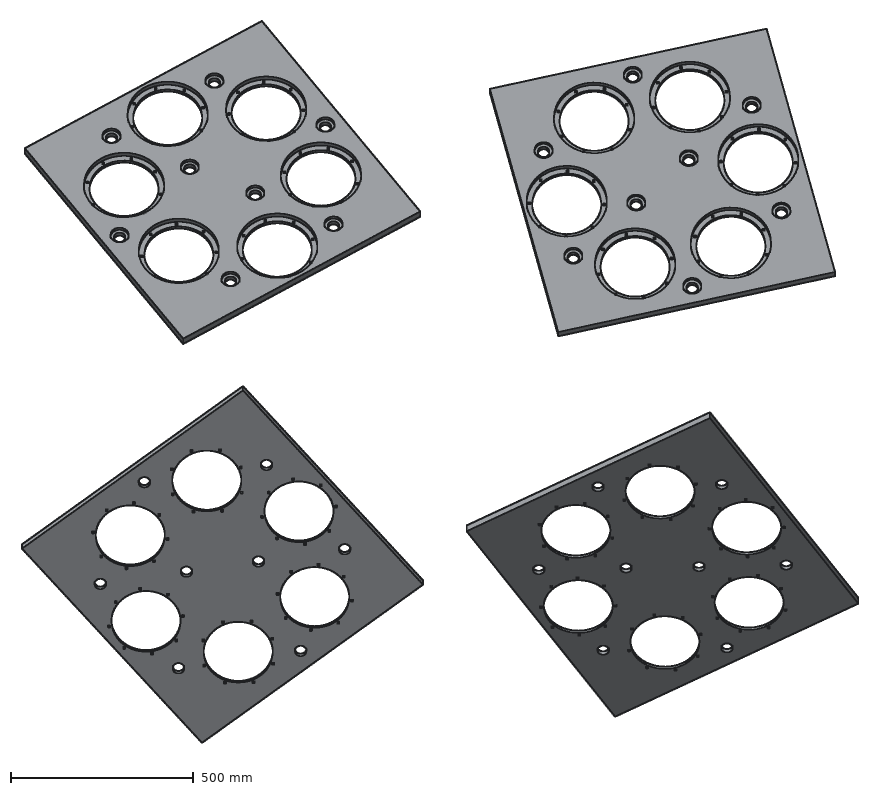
import cadquery as cq
import math

plate_side = 780.0
plate_thickness = 25.0

port_count = 6
port_pitch_radius = 270.0
port_bore_diameter = 189.0
port_recess_diameter = 220.0
port_recess_depth = 15.0

fixing_count = 8
fixing_circle_diameter = 204.0
fixing_hole_diameter = 6.0
fixing_start_angle = 30.0

mount_hole_diameter = 32.0
mount_recess_diameter = 50.0
mount_recess_depth = 10.0
outer_mount_count = 6
outer_mount_radius = 338.5
inner_mount_count = 2
inner_mount_radius = 100.0
mount_start_angle = 30.0


def circle_points(count, radius, start_angle=0.0, center=(0.0, 0.0)):
    """Points evenly spaced on a circle in the plane of the plate."""
    angles = [math.radians(start_angle + 360.0 * i / count) for i in range(count)]
    return [
        (center[0] + radius * math.cos(angle), center[1] + radius * math.sin(angle))
        for angle in angles
    ]


def port_fixing_points():
    """Fixing hole centres of all ports; each pattern turns with its port."""
    points = []
    for index, center in enumerate(circle_points(port_count, port_pitch_radius)):
        start_angle = fixing_start_angle + 360.0 * index / port_count
        points += circle_points(fixing_count, fixing_circle_diameter / 2, start_angle, center)
    return points


def on_top(body, points):
    """Place points on the top face of the plate, measured from its centre."""
    return body.faces(">Z").workplane(origin=(0, 0, plate_thickness)).pushPoints(points)


def cut_ports(body):
    ports = circle_points(port_count, port_pitch_radius)
    body = on_top(body, ports).cboreHole(port_bore_diameter, port_recess_diameter, port_recess_depth)
    return on_top(body, port_fixing_points()).hole(fixing_hole_diameter)


def cut_mounting_holes(body):
    mounts = circle_points(outer_mount_count, outer_mount_radius, mount_start_angle)
    mounts += circle_points(inner_mount_count, inner_mount_radius, mount_start_angle)
    return on_top(body, mounts).cboreHole(mount_hole_diameter, mount_recess_diameter, mount_recess_depth)


plate = cq.Workplane("XY").box(plate_side, plate_side, plate_thickness, centered=(True, True, False))
result = cut_mounting_holes(cut_ports(plate))